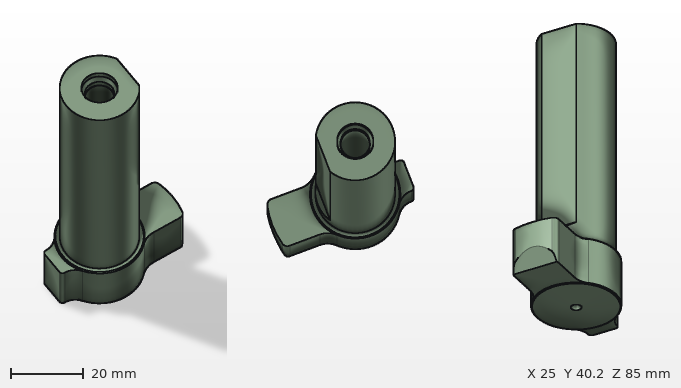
import cadquery as cq
import math

total_height = 85.0
shaft_radius = 22.0 / 2
flat_y = 9.5
flat_bottom_z = 20.9

collar_radius = 25.0 / 2
collar_top_z = 15.05
collar_chamfer = 0.3
underside_rise = 0.25

tab_bottom_z = 0.5
tab_top_z = 14.6
rear_tip_radius = 24.4
rear_half_width = 7.05
rear_corner_radius = 1.7
rear_blend_radius = 6.2
bevel_start_z = 6.6
bevel_depth = 1.5
front_end_y = -15.8
front_half_width = 4.6
front_corner_radius = 1.0
front_blend_radius = 5.2

mouth_radius = 10.0 / 2
mouth_depth = 1.6
seat_radius = 8.2 / 2
seat_top_depth = 2.8
seat_bottom_depth = 4.5
bore_radius = 8.0 / 2
bore_floor_z = collar_top_z
lower_bore_radius = 4.5 / 2
lower_bore_floor_z = collar_top_z / 2
outlet_radius = 3.0 / 2


def along(center, toward, distance):
    """Point at a distance from center in the direction of another point."""
    dx = toward[0] - center[0]
    dy = toward[1] - center[1]
    scale = distance / math.hypot(dx, dy)
    return (center[0] + dx * scale, center[1] + dy * scale)


def mirrored(point):
    return (-point[0], point[1])


def blend_points(half_width, radius, side):
    """Start, middle and end of the concave arc from the collar to a tab flank at +X."""
    center_x = half_width + radius
    center_y = side * math.sqrt((collar_radius + radius) ** 2 - center_x ** 2)
    center = (center_x, center_y)
    on_collar = along((0, 0), center, collar_radius)
    on_flank = (half_width, center_y)
    chord_middle = ((on_collar[0] + on_flank[0]) / 2, (on_collar[1] + on_flank[1]) / 2)
    return on_collar, along(center, chord_middle, radius), on_flank


def make_shaft():
    shaft = cq.Workplane("XY").workplane(offset=collar_top_z / 2)
    shaft = shaft.circle(shaft_radius).extrude(total_height - collar_top_z / 2)
    clearance = shaft_radius
    flat_cut = (
        cq.Workplane("YZ")
        .moveTo(flat_y, total_height)
        .lineTo(flat_y, flat_bottom_z)
        .lineTo(flat_y + clearance, flat_bottom_z - clearance)
        .lineTo(flat_y + clearance, total_height)
        .close()
        .extrude(shaft_radius, both=True)
    )
    return shaft.cut(flat_cut)


def make_collar():
    rim_radius = collar_radius - collar_chamfer
    return (
        cq.Workplane("XZ")
        .moveTo(0, 0)
        .lineTo(outlet_radius, 0)
        .lineTo(rim_radius, underside_rise)
        .lineTo(collar_radius, underside_rise + collar_chamfer)
        .lineTo(collar_radius, collar_top_z - collar_chamfer)
        .lineTo(rim_radius, collar_top_z)
        .lineTo(0, collar_top_z)
        .close()
        .revolve(360, (0, 0, 0), (0, 1, 0))
    )


def make_rear_tab():
    on_collar, blend_middle, on_flank = blend_points(rear_half_width, rear_blend_radius, 1)
    corner_x = rear_half_width - rear_corner_radius
    corner_y = math.sqrt((rear_tip_radius - rear_corner_radius) ** 2 - corner_x ** 2)
    corner = (corner_x, corner_y)
    flank_end = (rear_half_width, corner_y)
    tip_end = along((0, 0), corner, rear_tip_radius)
    chord_middle = ((flank_end[0] + tip_end[0]) / 2, (flank_end[1] + tip_end[1]) / 2)
    corner_middle = along(corner, chord_middle, rear_corner_radius)
    tab = (
        cq.Workplane("XY", origin=(0, 0, tab_bottom_z))
        .moveTo(0, 0)
        .lineTo(*on_collar)
        .threePointArc(blend_middle, on_flank)
        .lineTo(*flank_end)
        .threePointArc(corner_middle, tip_end)
        .threePointArc((0, rear_tip_radius), mirrored(tip_end))
        .threePointArc(mirrored(corner_middle), mirrored(flank_end))
        .lineTo(*mirrored(on_flank))
        .threePointArc(mirrored(blend_middle), mirrored(on_collar))
        .close()
        .extrude(tab_top_z - tab_bottom_z)
    )
    bevel = (
        cq.Workplane("YZ")
        .moveTo(rear_tip_radius, bevel_start_z)
        .lineTo(rear_tip_radius - bevel_depth, tab_bottom_z)
        .lineTo(rear_tip_radius, tab_bottom_z)
        .close()
        .extrude(rear_half_width, both=True)
    )
    return tab.cut(bevel)


def make_front_tab():
    on_collar, blend_middle, on_flank = blend_points(front_half_width, front_blend_radius, -1)
    return (
        cq.Workplane("XY", origin=(0, 0, tab_bottom_z))
        .moveTo(0, 0)
        .lineTo(*on_collar)
        .threePointArc(blend_middle, on_flank)
        .lineTo(front_half_width, front_end_y)
        .lineTo(-front_half_width, front_end_y)
        .lineTo(*mirrored(on_flank))
        .threePointArc(mirrored(blend_middle), mirrored(on_collar))
        .close()
        .extrude(tab_top_z - tab_bottom_z)
        .edges("|Z and <Y")
        .fillet(front_corner_radius)
    )


def make_bore():
    seat_top_z = total_height - seat_top_depth
    seat_bottom_z = total_height - seat_bottom_depth
    return (
        cq.Workplane("XZ")
        .moveTo(0, total_height)
        .lineTo(mouth_radius, total_height)
        .lineTo(mouth_radius, total_height - mouth_depth)
        .lineTo(seat_radius, seat_top_z)
        .lineTo(seat_radius, seat_bottom_z)
        .lineTo(bore_radius, seat_bottom_z)
        .lineTo(bore_radius, bore_floor_z)
        .lineTo(lower_bore_radius, bore_floor_z)
        .lineTo(lower_bore_radius, lower_bore_floor_z)
        .lineTo(outlet_radius, lower_bore_floor_z)
        .lineTo(outlet_radius, 0)
        .lineTo(0, 0)
        .close()
        .revolve(360, (0, 0, 0), (0, 1, 0))
    )


body = make_collar().union(make_rear_tab()).union(make_front_tab()).union(make_shaft())
result = body.cut(make_bore())